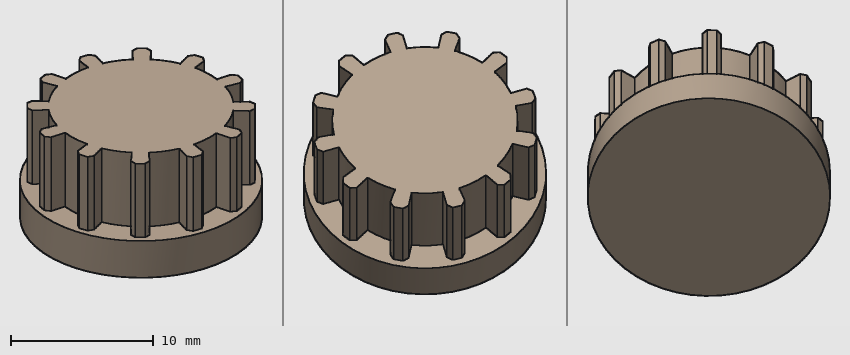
import cadquery as cq

flange_diameter = 17.0
flange_height = 3.0

total_height = 9.0
hub_height = total_height - flange_height
root_radius = 6.5
tip_radius = 7.99
tooth_count = 12

root_width = 1.19
shoulder_width = 1.33
tip_width = 0.68
shoulder_radius = 7.63
root_overlap = 0.34


def make_tooth(angle):
    """Upright tooth standing on the flange, pointing along the given angle from +X."""
    taper = (shoulder_width - root_width) / (shoulder_radius - root_radius)
    inner_radius = root_radius - root_overlap
    inner_width = root_width - taper * root_overlap
    return (
        cq.Workplane("XY", origin=(0, 0, flange_height))
        .moveTo(inner_radius, -inner_width / 2)
        .lineTo(shoulder_radius, -shoulder_width / 2)
        .lineTo(tip_radius, -tip_width / 2)
        .lineTo(tip_radius, tip_width / 2)
        .lineTo(shoulder_radius, shoulder_width / 2)
        .lineTo(inner_radius, inner_width / 2)
        .close()
        .extrude(hub_height)
        .rotate((0, 0, 0), (0, 0, 1), angle)
    )


flange = cq.Workplane("XY").circle(flange_diameter / 2).extrude(flange_height)
hub = cq.Workplane("XY").circle(root_radius).extrude(total_height)

result = flange.union(hub)
for index in range(tooth_count):
    result = result.union(make_tooth(index * 360 / tooth_count))